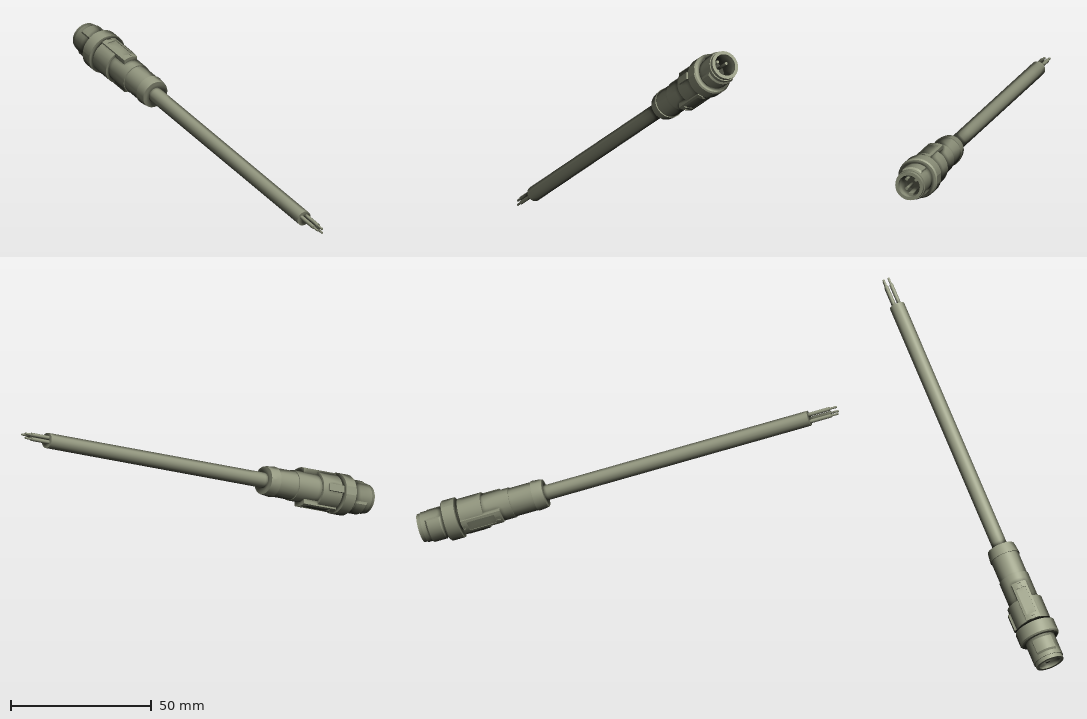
import cadquery as cq

TOTAL_LENGTH = 156.8

TIP_RADIUS = 5.2
NOSE_RADIUS = 5.5
TIP_LENGTH = 1.4
BORE_RADIUS = 8.0 / 2
BORE_DEPTH = 8.6
PIN_RADIUS = 0.55
PIN_OFFSET = 1.7
PIN_TIP_X = 2.5
KEY_WIDTH = 1.5
KEY_HEIGHT = 1.0
KEY_START_X = 1.9

PAD_RADIUS = 12.0 / 2
PAD_START_X = 3.0
PAD_END_X = 9.0
PAD_SLOPE = 0.6
TOP_PAD_WIDTH = 7.0
BOTTOM_PAD_WIDTH = 9.7

RING_START_X = 9.5
RING_END_X = 14.6
RING_RADIUS = 7.4
RING_FRONT_CHAMFER = 0.5
RING_FLAT_DISTANCE = 7.2

NECK_RADIUS = 4.5
BODY_START_X = 15.7
BODY_END_X = 24.3
BODY_RADIUS = 13.0 / 2
GRIP_END_X = 34.5
GRIP_RADIUS = 5.5
SLEEVE_RADIUS = 5.2

COLLAR_START_X = 43.0
COLLAR_MIDDLE_X = 45.0
COLLAR_END_X = 46.9
COLLAR_RADIUS = 5.5
COLLAR_MIDDLE_RADIUS = 5.3
COLLAR_END_RADIUS = 5.0

RIB_END_X = 30.4
RIB_RADIUS = 7.0
RIB_WIDTH = 5.3
LABEL_START_X = 17.7
LABEL_END_X = 28.0
LABEL_WIDTH = 3.6
LABEL_FLAT_HEIGHT = 6.6
NOTCH_WIDTH = 1.4
NOTCH_FLOOR_HEIGHT = 6.7
FRONT_NOTCH_END_X = 16.8
REAR_NOTCH_END_X = 30.0

BUMP_END_X = 22.1
BUMP_WIDTH = 2.5

CABLE_RADIUS = 5.5 / 2
CABLE_END_X = 146.1
WIRE_END_X = 154.1
WIRE_RADIUS = 0.7
WIRE_OFFSET_Y = 1.0
WIRE_OFFSET_Z = 0.8
CONDUCTOR_RADIUS = 0.39

CONTACT_SIGNS = [(1, 1), (-1, 1), (1, -1)]


def cylinder_x(radius, start_x, end_x, y=0.0, z=0.0):
    """Round bar parallel to X."""
    return cq.Workplane("YZ", origin=(start_x, y, z)).circle(radius).extrude(end_x - start_x)


def box_x(start_x, end_x, width, bottom_z, top_z):
    """Box centred on Y = 0 between two X and two Z positions."""
    size = (end_x - start_x, width, top_z - bottom_z)
    return cq.Workplane("XY", origin=(start_x, 0, bottom_z)).box(*size, centered=(False, True, False))


def revolve_x(points):
    """Turned shape from (x, radius) points, closed along the X axis."""
    outline = [(points[0][0], 0), *points, (points[-1][0], 0)]
    return cq.Workplane("XY").polyline(outline).close().revolve(360, (0, 0, 0), (1, 0, 0))


def flip(solid):
    """Turn half a revolution about the X axis, from the top to the bottom."""
    return solid.rotate((0, 0, 0), (1, 0, 0), 180)


def turned_body():
    return revolve_x([
        (0, TIP_RADIUS),
        (TIP_LENGTH, TIP_RADIUS),
        (TIP_LENGTH, NOSE_RADIUS),
        (RING_START_X, NOSE_RADIUS),
        (RING_START_X, NECK_RADIUS),
        (BODY_START_X, NECK_RADIUS),
        (BODY_START_X, BODY_RADIUS),
        (BODY_END_X, BODY_RADIUS),
        (BODY_END_X, GRIP_RADIUS),
        (GRIP_END_X, GRIP_RADIUS),
        (GRIP_END_X, SLEEVE_RADIUS),
        (COLLAR_START_X, SLEEVE_RADIUS),
        (COLLAR_START_X, CABLE_RADIUS),
        (CABLE_END_X, CABLE_RADIUS),
    ])


def end_collar():
    """Collar with a barrel-shaped rim that narrows towards the cable."""
    outline = (
        cq.Workplane("XY")
        .moveTo(COLLAR_START_X, 0)
        .lineTo(COLLAR_START_X, COLLAR_RADIUS)
        .threePointArc((COLLAR_MIDDLE_X, COLLAR_MIDDLE_RADIUS), (COLLAR_END_X, COLLAR_END_RADIUS))
        .lineTo(COLLAR_END_X, 0)
        .close()
    )
    return outline.revolve(360, (0, 0, 0), (1, 0, 0))


def locking_ring():
    """Chamfered ring with one flat on each Y side."""
    ring = cylinder_x(RING_RADIUS, RING_START_X, RING_END_X)
    ring = ring.faces("<X").chamfer(RING_FRONT_CHAMFER)
    return ring.intersect(box_x(RING_START_X, RING_END_X, 2 * RING_FLAT_DISTANCE, -RING_RADIUS, RING_RADIUS))


def snap_pad(width):
    """Pad on top of the nose: a band with sloped ends, cut to width."""
    band = revolve_x([
        (PAD_START_X, NOSE_RADIUS),
        (PAD_START_X + PAD_SLOPE, PAD_RADIUS),
        (PAD_END_X - PAD_SLOPE, PAD_RADIUS),
        (PAD_END_X, NOSE_RADIUS),
    ])
    return band.intersect(box_x(PAD_START_X, PAD_END_X, width, 0, PAD_RADIUS))


def label_rib():
    """Crowned rib on top with a flat label recess and a notch at each end."""
    rib = cylinder_x(RIB_RADIUS, BODY_START_X, RIB_END_X)
    rib = rib.intersect(box_x(BODY_START_X, RIB_END_X, RIB_WIDTH, 0, RIB_RADIUS))
    rib = rib.cut(box_x(LABEL_START_X, LABEL_END_X, LABEL_WIDTH, LABEL_FLAT_HEIGHT, RIB_RADIUS))
    for start_x, end_x in ((BODY_START_X, FRONT_NOTCH_END_X), (LABEL_END_X, REAR_NOTCH_END_X)):
        rib = rib.cut(box_x(start_x, end_x, NOTCH_WIDTH, NOTCH_FLOOR_HEIGHT, RIB_RADIUS))
    return rib


def index_bump():
    """Narrow bar on the +Y side, level with the flats of the ring."""
    bump = box_x(BODY_START_X, BUMP_END_X, BUMP_WIDTH, 0, RING_FLAT_DISTANCE)
    return bump.rotate((0, 0, 0), (1, 0, 0), -90)


def socket_key():
    """Coding key along the bottom of the bore."""
    key = box_x(KEY_START_X, BORE_DEPTH, KEY_WIDTH, -TIP_RADIUS, KEY_HEIGHT - BORE_RADIUS)
    return key.intersect(cylinder_x(TIP_RADIUS, KEY_START_X, BORE_DEPTH))


result = turned_body().union(end_collar()).union(locking_ring())
result = result.union(snap_pad(TOP_PAD_WIDTH)).union(flip(snap_pad(BOTTOM_PAD_WIDTH)))
result = result.union(label_rib()).union(flip(label_rib())).union(index_bump())

result = result.cut(cylinder_x(BORE_RADIUS, 0, BORE_DEPTH))
result = result.union(socket_key())

for side_y, side_z in CONTACT_SIGNS:
    pin = cylinder_x(PIN_RADIUS, PIN_TIP_X, RING_START_X, side_y * PIN_OFFSET, side_z * PIN_OFFSET)
    wire_center = (side_y * WIRE_OFFSET_Y, side_z * WIRE_OFFSET_Z)
    wire = cylinder_x(WIRE_RADIUS, COLLAR_END_X, WIRE_END_X, *wire_center)
    conductor = cylinder_x(CONDUCTOR_RADIUS, COLLAR_END_X, TOTAL_LENGTH, *wire_center)
    result = result.union(pin).union(wire).union(conductor)